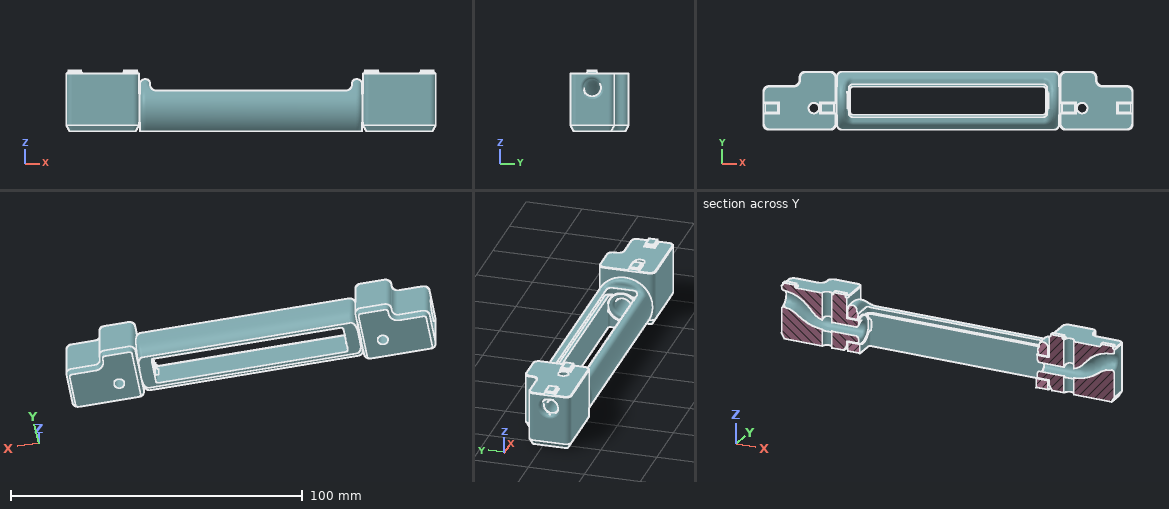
import cadquery as cq
LENGTH = 126.7
WIDTH = 20.0

BLOCK_LENGTH = 25.0
BLOCK_HEIGHT = 20.0
STEP_LENGTH = 12.4
STEP_DEPTH = 5.0
BLOCK_CORNER_RADIUS = 2.0
FOOT_CHAMFER_HEIGHT = 2.0
FOOT_CHAMFER_INSET = 1.1
TOP_EDGE_CHAMFER = 0.3

FEATURE_Y = -2.5
LUG_LENGTH = 5.3
LUG_WIDTH = 3.9
LUG_HEIGHT = 1.0
LUG_INSET = 0.3
LUG_BASE_FLARE = 0.4
LUG_TOP_CHAMFER = 0.1
SCREW_HOLE_DIAMETER = 3.5
SCREW_HOLE_INSET = 17.4

BORE_DIAMETER = 6.0
BORE_EDGE_FILLET = 1.0
BORE_MOUTH_Z = 15.1

HANDLE_LENGTH = 76.3
HANDLE_AXIS_Z = 8.0
HANDLE_END_FILLET = 1.9
RIM_Z = 14.0
RIM_LENGTH = 69.2
RIM_ROOT_FILLET = 2.0
RIM_EDGE_FILLET = 1.5

OPENING_LENGTH = 66.9
OPENING_WIDTH = 9.5
OPENING_CORNER_RADIUS = 0.8
RECESS_DEPTH = 2.0
RECESS_CORNER_RADIUS = 1.5
RECESS_UNDERCUT_ANGLE = 10.0
SIDE_LEDGE = 0.9
END_LEDGE = 0.6

PIN_DIAMETER = 10.0
PIN_HOLE_DIAMETER = 10.3
PIN_SETBACK = 0.4

OUTER_X = LENGTH / 2
INNER_X = OUTER_X - BLOCK_LENGTH
SCREW_X = OUTER_X - SCREW_HOLE_INSET
PIN_END_X = OPENING_LENGTH / 2 + PIN_SETBACK


def block_base():
    """Block of the -X end without its lugs, pin and holes."""
    front_y = -WIDTH / 2
    back_y = WIDTH / 2
    step_x = -OUTER_X + STEP_LENGTH
    step_y = back_y - STEP_DEPTH
    outline = [
        (-OUTER_X, front_y),
        (-INNER_X, front_y),
        (-INNER_X, back_y),
        (step_x, back_y),
        (step_x, step_y),
        (-OUTER_X, step_y),
    ]
    base = cq.Workplane("XY").polyline(outline).close().extrude(BLOCK_HEIGHT)
    base = base.edges("|Z").fillet(BLOCK_CORNER_RADIUS)
    base = base.faces("<Z").chamfer(FOOT_CHAMFER_HEIGHT, FOOT_CHAMFER_INSET)
    return base.faces(">Z").chamfer(TOP_EDGE_CHAMFER)


def lug(center_x):
    """Small rectangular lug with a flared base, standing on the block's top face."""
    return (
        cq.Workplane("XY", origin=(center_x, FEATURE_Y, BLOCK_HEIGHT))
        .rect(LUG_LENGTH, LUG_WIDTH)
        .extrude(LUG_BASE_FLARE, taper=45)
        .faces(">Z").wires().toPending()
        .extrude(LUG_HEIGHT - LUG_BASE_FLARE)
        .faces(">Z").chamfer(LUG_TOP_CHAMFER)
    )


def pivot_pin():
    """Round pin from the block's inner face to just short of the handle's opening."""
    return (
        cq.Workplane("YZ", origin=(-INNER_X, 0, HANDLE_AXIS_Z))
        .circle(PIN_DIAMETER / 2)
        .extrude(INNER_X - PIN_END_X)
    )


def screw_hole():
    return (
        cq.Workplane("XY", origin=(-SCREW_X, FEATURE_Y, 0))
        .circle(SCREW_HOLE_DIAMETER / 2)
        .extrude(BLOCK_HEIGHT + LUG_HEIGHT)
    )


def wire_bore(mouth, pin_end):
    """S-bend from the mouth to the handle axis below the screw hole, then straight along the pin."""
    along_x = cq.Vector(1, 0, 0)
    bend_end = cq.Vector(-SCREW_X, 0, HANDLE_AXIS_Z)
    path = cq.Workplane("XY").spline([mouth, bend_end], tangents=[along_x, along_x])
    bend = cq.Workplane("YZ", origin=mouth.toTuple()).circle(BORE_DIAMETER / 2).sweep(path)
    straight = (
        cq.Workplane("YZ", origin=bend_end.toTuple())
        .circle(BORE_DIAMETER / 2)
        .extrude(pin_end.x - bend_end.x)
    )
    return bend.union(straight)


def round_bore_edge(body, center):
    """Round the circular edge where the bore opens at the given centre."""
    rim_edge = cq.selectors.NearestToPointSelector(center.toTuple())
    return body.edges("%CIRCLE or %BSPLINE").edges(rim_edge).fillet(BORE_EDGE_FILLET)


def make_end_block():
    """Complete block of the -X end."""
    lug_offset = LUG_INSET + LUG_LENGTH / 2
    mouth = cq.Vector(-OUTER_X, FEATURE_Y, BORE_MOUTH_Z)
    pin_end = cq.Vector(-PIN_END_X, 0, HANDLE_AXIS_Z)
    block = block_base().union(pivot_pin())
    block = block.cut(wire_bore(mouth, pin_end))
    for opening in (mouth, pin_end):
        block = round_bore_edge(block, opening)
    for lug_x in (-OUTER_X + lug_offset, -INNER_X - lug_offset):
        block = block.union(lug(lug_x))
    return block.cut(screw_hole())


def round_bar():
    return (
        cq.Workplane("YZ", origin=(-HANDLE_LENGTH / 2, 0, HANDLE_AXIS_Z))
        .circle(WIDTH / 2)
        .extrude(HANDLE_LENGTH)
        .faces("<X or >X").edges()
        .fillet(HANDLE_END_FILLET)
    )


def lower_rim(bar):
    """Cut the bar's top down to the rim, leaving an arched wall at each end with rounded edges."""
    cut_height = WIDTH
    cutter = (
        cq.Workplane("XY", origin=(0, 0, RIM_Z))
        .box(RIM_LENGTH, WIDTH, cut_height, centered=(True, True, False))
        .edges("|Y and <Z")
        .fillet(RIM_ROOT_FILLET)
    )
    margin = 0.1
    reach = RIM_LENGTH / 2 + margin
    cut_zone = cq.selectors.BoxSelector(
        (-reach, -WIDTH, RIM_Z - margin), (reach, WIDTH, RIM_Z + cut_height)
    )
    return bar.cut(cutter).edges(cut_zone).edges("not |Y").fillet(RIM_EDGE_FILLET)


def handle_opening():
    """Straight opening from the underside to the rim."""
    return (
        cq.Workplane("XY")
        .box(OPENING_LENGTH, OPENING_WIDTH, RIM_Z, centered=(True, True, False))
        .edges("|Z")
        .fillet(OPENING_CORNER_RADIUS)
    )


def handle_recess():
    """Recess around the opening: wider towards its ledge, and straight above the rim."""
    outline = (
        cq.Sketch()
        .rect(OPENING_LENGTH + 2 * END_LEDGE, OPENING_WIDTH + 2 * SIDE_LEDGE)
        .vertices()
        .fillet(RECESS_CORNER_RADIUS)
    )
    rim_plane = cq.Workplane("XY", origin=(0, 0, RIM_Z))
    undercut = rim_plane.placeSketch(outline).extrude(-RECESS_DEPTH, taper=-RECESS_UNDERCUT_ANGLE)
    clearance = rim_plane.placeSketch(outline).extrude(RIM_ROOT_FILLET)
    return undercut.union(clearance)


def pin_hole(side):
    """Hole through one end wall; side is -1 or 1 along X."""
    depth = HANDLE_LENGTH / 2 - OPENING_LENGTH / 2 + OPENING_CORNER_RADIUS
    return (
        cq.Workplane("YZ", origin=(side * HANDLE_LENGTH / 2, 0, HANDLE_AXIS_Z))
        .circle(PIN_HOLE_DIAMETER / 2)
        .extrude(-side * depth)
    )


def make_handle():
    above_underside = cq.Workplane("XY").box(LENGTH, WIDTH, WIDTH, centered=(True, True, False))
    body = lower_rim(round_bar()).intersect(above_underside)
    body = body.cut(handle_opening()).cut(handle_recess())
    for side in (-1, 1):
        body = body.cut(pin_hole(side))
    return body


handle = make_handle()

end_block = make_end_block()
end_blocks = [end_block.val(), end_block.mirror("YZ").val()]

result = cq.Compound.makeCompound([handle.val(), *end_blocks])